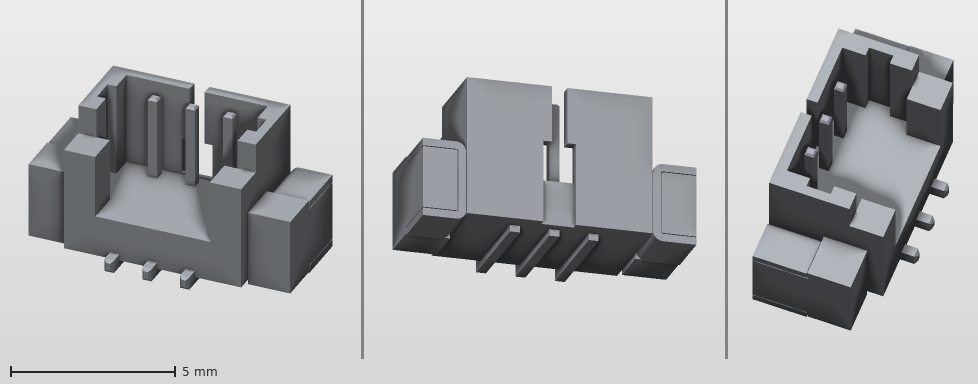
import cadquery as cq

OVERALL_LENGTH = 8.7

HOUSING_LENGTH = 5.9
HOUSING_DEPTH = 3.73
HOUSING_BOTTOM = 0.22
HOUSING_TOP = 4.66
FLOOR_Z = 1.58
BACK_WALL = 0.36
SIDE_WALL = 0.6
FRONT_STEP_DEPTH = 1.105
FRONT_STEP_Z = 3.68
FRONT_OPENING_LENGTH = 3.81

KEY_GROOVE_DEPTH = 0.3
KEY_GROOVE_WIDTH = 0.79
KEY_GROOVE_BACK = 1.11

BACK_SLOT_LENGTH = 0.5
BACK_GROOVE_DEPTH = 0.23
WINDOW_LENGTH = 1.03
WINDOW_BOTTOM = 1.65
WINDOW_TOP = 2.85

CONTACT_COUNT = 3
CONTACT_PITCH = 1.25
CONTACT_WIDTH = 0.31
CONTACT_CENTER = 0.72
CONTACT_TOP = 4.33
CONTACT_TIP_CHAMFER = 0.06
TAIL_HEIGHT = 0.435
TAIL_END = 4.24
TAIL_CHAMFER = 0.09

EAR_BACK = 0.01
EAR_FRONT = 3.21
EAR_BOTTOM = 0.05
EAR_HEIGHT = 2.52
CLIP_FRONT = 1.77
CLIP_THICKNESS = 0.24
CLIP_BEND_RADIUS = 0.31
CLIP_CLEARANCE = 0.03

CLIP_HEIGHT = EAR_HEIGHT
HOUSING_SIDE = HOUSING_LENGTH / 2
CLIP_WEB_X = HOUSING_SIDE + CLIP_CLEARANCE
EAR_END = OVERALL_LENGTH / 2
SIDES = (-1, 1)


def block(x_range, y_range, z_range):
    """Box between the given lower and upper limits."""
    ranges = (x_range, y_range, z_range)
    sizes = [high - low for low, high in ranges]
    corner = tuple(low for low, high in ranges)
    return cq.Workplane("XY").box(*sizes, centered=False).translate(corner)


def centered(length):
    """Limits of a length centred on zero."""
    return (-length / 2, length / 2)


def place_on_side(right_half, side):
    """Copy of a shape made for the +X side, mirrored when it belongs on the -X side."""
    return right_half if side > 0 else right_half.mirror("YZ")


def make_shell():
    """Box with a cavity that is open at the top and at the front."""
    step_y = FRONT_STEP_DEPTH - HOUSING_DEPTH
    above_floor = (FLOOR_Z, HOUSING_TOP)
    shell = block(centered(HOUSING_LENGTH), (-HOUSING_DEPTH, 0), (HOUSING_BOTTOM, HOUSING_TOP))
    front_step = block(centered(HOUSING_LENGTH), (-HOUSING_DEPTH, step_y), (FRONT_STEP_Z, HOUSING_TOP))
    cavity_length = HOUSING_LENGTH - 2 * SIDE_WALL
    cavity = block(centered(cavity_length), (step_y, -BACK_WALL), above_floor)
    front_opening = block(centered(FRONT_OPENING_LENGTH), (-HOUSING_DEPTH, step_y), above_floor)
    key_grooves = block(
        centered(cavity_length + 2 * KEY_GROOVE_DEPTH),
        (-KEY_GROOVE_BACK - KEY_GROOVE_WIDTH, -KEY_GROOVE_BACK),
        above_floor,
    )
    return shell.cut(front_step).cut(cavity).cut(front_opening).cut(key_grooves)


def cut_back_wall(shell):
    """Window through the back wall, a slot above it and a groove below it in the outer face."""
    window = block(centered(WINDOW_LENGTH), (-BACK_WALL, 0), (WINDOW_BOTTOM, WINDOW_TOP))
    slot = block(centered(BACK_SLOT_LENGTH), (-BACK_WALL, 0), (WINDOW_BOTTOM, HOUSING_TOP))
    groove = block(centered(WINDOW_LENGTH), (-BACK_GROOVE_DEPTH, 0), (HOUSING_BOTTOM, WINDOW_BOTTOM))
    return shell.cut(window).cut(slot).cut(groove)


def make_contact(x):
    """Upright post in the cavity and a tail that leaves under the front wall."""
    x_range = (x - CONTACT_WIDTH / 2, x + CONTACT_WIDTH / 2)
    post_back = -CONTACT_CENTER + CONTACT_WIDTH / 2
    post = block(x_range, (post_back - CONTACT_WIDTH, post_back), (0, CONTACT_TOP))
    post = post.faces(">Z").chamfer(CONTACT_TIP_CHAMFER)
    tail = block(x_range, (-TAIL_END, post_back), (0, TAIL_HEIGHT))
    tail = tail.faces("<Y").chamfer(TAIL_CHAMFER)
    return post.union(tail)


def clip_envelope(inset):
    """Solid filling a +X clip's outline, shrunk by the inset on all sides but its outer end."""
    envelope = block(
        (CLIP_WEB_X + inset, EAR_END), (-CLIP_FRONT, -EAR_BACK), (inset, CLIP_HEIGHT - inset)
    )
    return envelope.edges("|Y and <X").fillet(CLIP_BEND_RADIUS - inset)


def make_ear(side):
    """Ear with a full front part and a slimmer core that the clip wraps around."""
    recess_front = -CLIP_FRONT - CLIP_CLEARANCE
    front_part = block(
        (HOUSING_SIDE, EAR_END), (-EAR_FRONT, recess_front), (EAR_BOTTOM, EAR_BOTTOM + EAR_HEIGHT)
    )
    core_inset = CLIP_THICKNESS + CLIP_CLEARANCE
    core = block(
        (CLIP_WEB_X + core_inset, EAR_END),
        (recess_front, -EAR_BACK),
        (core_inset, CLIP_HEIGHT - core_inset),
    )
    core = core.edges("|Y and <X").fillet(CLIP_BEND_RADIUS - core_inset)
    return place_on_side(front_part.union(core), side)


def make_housing():
    housing = cut_back_wall(make_shell())
    for index in range(CONTACT_COUNT):
        x = (index - (CONTACT_COUNT - 1) / 2) * CONTACT_PITCH
        housing = housing.union(make_contact(x))
    for side in SIDES:
        housing = housing.union(make_ear(side))
    return housing


def make_clip(side):
    """C-shaped clip: the web faces the housing side and both legs point outward."""
    clip = clip_envelope(0).cut(clip_envelope(CLIP_THICKNESS))
    return place_on_side(clip, side)


housing = make_housing()
clips = [make_clip(side) for side in SIDES]

result = cq.Compound.makeCompound([housing.val(), *[clip.val() for clip in clips]])